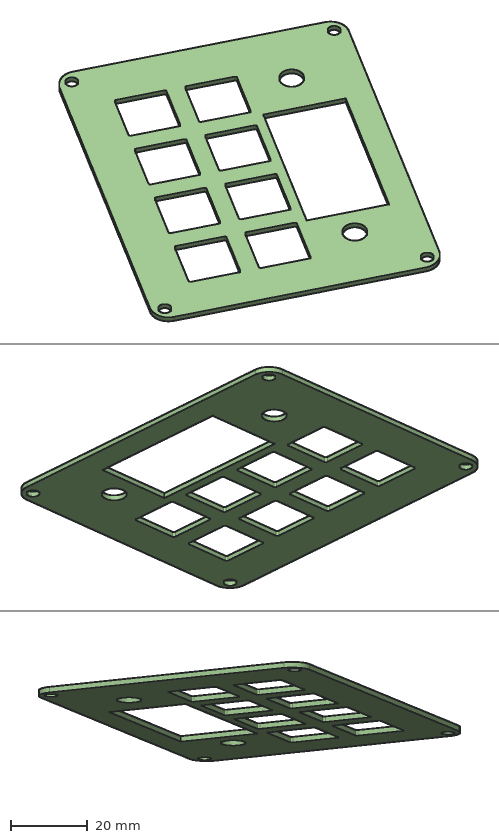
import cadquery as cq

PLATE_LENGTH = 96.0
PLATE_WIDTH = 78.3
PLATE_THICKNESS = 1.5
PLATE_CORNER_RADIUS = 5.0

MOUNT_HOLE_DIAMETER = 3.4
MOUNT_HOLE_INSET = 3.65

KNOB_HOLE_DIAMETER = 6.5
KNOB_SPACING = 60.2
KNOB_CENTER = (0.0, 19.95)

WINDOW_LENGTH = 41.4
WINDOW_WIDTH = 22.3
WINDOW_CENTER = (1.8, 20.25)

KEY_SIZE = 14.0
KEY_CORNER_RADIUS = 0.5
KEY_PITCH = 19.05
KEY_COLUMNS = 4
KEY_ROWS = 2
KEY_GRID_CENTER = (0.9, -10.2)


def make_plate():
    """Flat plate with rounded vertical corners."""
    plate = cq.Workplane("XY").box(
        PLATE_LENGTH, PLATE_WIDTH, PLATE_THICKNESS, centered=(True, True, False)
    )
    return plate.edges("|Z").fillet(PLATE_CORNER_RADIUS)


def mounting_holes():
    """Cylinders for the corner holes, equally inset from both edges."""
    spacing_x = PLATE_LENGTH - 2 * MOUNT_HOLE_INSET
    spacing_y = PLATE_WIDTH - 2 * MOUNT_HOLE_INSET
    return (
        cq.Workplane("XY")
        .rarray(spacing_x, spacing_y, 2, 2)
        .circle(MOUNT_HOLE_DIAMETER / 2)
        .extrude(PLATE_THICKNESS)
    )


def knob_holes():
    """Pair of cylinders for the knob shafts."""
    return (
        cq.Workplane("XY")
        .center(*KNOB_CENTER)
        .rarray(KNOB_SPACING, 1, 2, 1)
        .circle(KNOB_HOLE_DIAMETER / 2)
        .extrude(PLATE_THICKNESS)
    )


def display_window():
    """Sharp-cornered block for the display opening."""
    return (
        cq.Workplane("XY")
        .center(*WINDOW_CENTER)
        .rect(WINDOW_LENGTH, WINDOW_WIDTH)
        .extrude(PLATE_THICKNESS)
    )


def key_cutouts():
    """Grid of square blocks with small corner radii for the keys."""
    return (
        cq.Workplane("XY")
        .center(*KEY_GRID_CENTER)
        .rarray(KEY_PITCH, KEY_PITCH, KEY_COLUMNS, KEY_ROWS)
        .rect(KEY_SIZE, KEY_SIZE)
        .extrude(PLATE_THICKNESS)
        .edges("|Z")
        .fillet(KEY_CORNER_RADIUS)
    )


result = (
    make_plate()
    .cut(mounting_holes())
    .cut(knob_holes())
    .cut(display_window())
    .cut(key_cutouts())
)